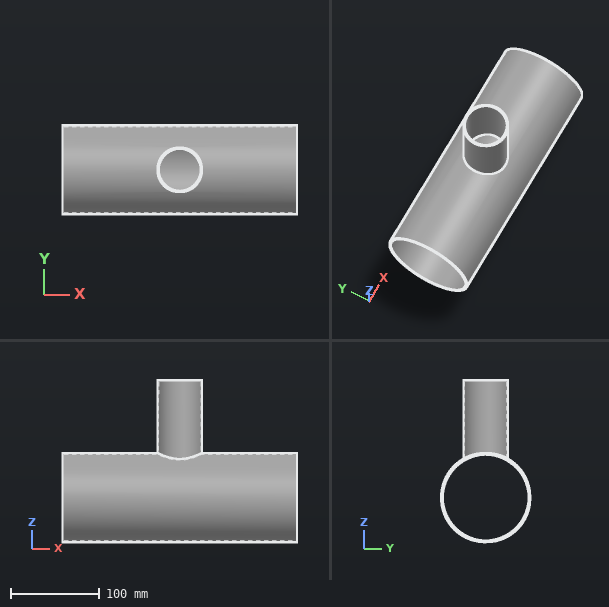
import cadquery as cq

run_length = 266.8
run_outer_diameter = 101.6
run_wall = 2.0
run_bore_diameter = run_outer_diameter - 2 * run_wall

branch_outer_diameter = 50.8
branch_wall = 1.5
branch_bore_diameter = branch_outer_diameter - 2 * branch_wall
branch_height = run_length / 2


def run_cylinder(diameter):
    """Solid cylinder along the full length of the run."""
    return cq.Workplane("YZ").circle(diameter / 2).extrude(run_length / 2, both=True)


def branch_cylinder(diameter):
    """Solid cylinder from the run axis up to the open end of the branch."""
    return cq.Workplane("XY").circle(diameter / 2).extrude(branch_height)


outer_body = run_cylinder(run_outer_diameter).union(branch_cylinder(branch_outer_diameter))

result = outer_body.cut(run_cylinder(run_bore_diameter)).cut(branch_cylinder(branch_bore_diameter))